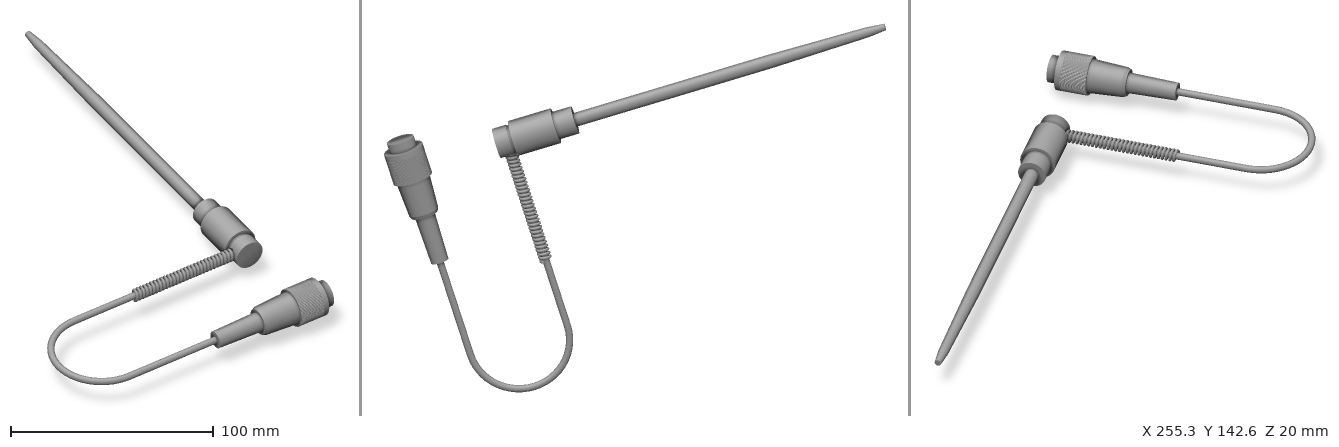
import cadquery as cq
import math


POINT_DIAMETER = 3.3
NECK_DIAMETER = 5.0
SHAFT_DIAMETER = 7.0
POINT_END_X = 9.7
TAPER_END_X = 60.0
TIP_END_X = 65.0

HANDLE_START_X = 160.0
GRIP_START_X = 170.0
GRIP_END_X = 192.0
CAP_START_X = 193.5
HANDLE_END_X = 200.5
FRONT_DIAMETER = 14.0
GRIP_DIAMETER = 17.9
CAP_DIAMETER = 15.0

GRIP_HOLE_DIAMETER = 1.48
GRIP_HOLE_DEPTH = 1.3
GRIP_HOLE_X = 189.1

CABLE_DIAMETER = 3.5
BEND_RADIUS = 25.0
CABLE_X = 195.3
BEND_Y = -99.8
PLUG_X = CABLE_X + 2 * BEND_RADIUS

SPRING_OUTER_DIAMETER = 6.6
SPRING_WIRE_DIAMETER = 1.48
SPRING_PITCH = 2.0
SPRING_END_Y = -65.3
SEAT_DIAMETER = 7.0
SEAT_Y = -5.5
SPRING_MEAN_RADIUS = (SPRING_OUTER_DIAMETER - SPRING_WIRE_DIAMETER) / 2
SPRING_END_GAP = 0.13

NOSE_DIAMETER = 13.8
BODY_START_DIAMETER = 17.0
BODY_END_DIAMETER = 15.0
SHOULDER_DIAMETER = 13.5
TAIL_START_DIAMETER = 10.2
TAIL_END_DIAMETER = 9.0
NOSE_Y = 16.0
BODY_START_Y = -4.8
BODY_END_Y = -22.5
SHOULDER_Y = -24.2
TAIL_END_Y = -49.3

RING_DIAMETER = 20.0
RING_START_Y = 11.2
KNURL_START_Y = 8.5
RIDGE_COUNT = 90
GROOVE_DEPTH = 0.2


def make_turned_part(stations, axis_origin, axis_direction):
    """Revolve (distance along axis, diameter) stations into a solid of revolution."""
    outline = [(stations[0][0], 0)]
    outline += [(distance, diameter / 2) for distance, diameter in stations]
    outline += [(stations[-1][0], 0)]
    plane = cq.Plane(origin=axis_origin, xDir=axis_direction, normal=(0, 0, 1))
    return cq.Workplane(plane).polyline(outline).close().revolve(360, (0, 0), (1, 0))


def make_y_rod(x, diameter, start_y, end_y):
    """Round rod along -Y from start_y down to end_y."""
    plane = cq.Plane(origin=(x, start_y, 0), xDir=(1, 0, 0), normal=(0, -1, 0))
    return cq.Workplane(plane).circle(diameter / 2).extrude(start_y - end_y)


def make_tip():
    stations = [
        (0, POINT_DIAMETER),
        (POINT_END_X, NECK_DIAMETER),
        (TAPER_END_X, SHAFT_DIAMETER),
        (TIP_END_X, SHAFT_DIAMETER),
    ]
    return make_turned_part(stations, (0, 0, 0), (1, 0, 0))


def make_shaft():
    stations = [(TIP_END_X, SHAFT_DIAMETER), (HANDLE_START_X, SHAFT_DIAMETER)]
    return make_turned_part(stations, (0, 0, 0), (1, 0, 0))


def make_handle():
    stations = [
        (HANDLE_START_X, FRONT_DIAMETER),
        (GRIP_START_X, FRONT_DIAMETER),
        (GRIP_START_X, GRIP_DIAMETER),
        (GRIP_END_X, GRIP_DIAMETER),
        (GRIP_END_X, FRONT_DIAMETER),
        (CAP_START_X, FRONT_DIAMETER),
        (CAP_START_X, CAP_DIAMETER),
        (HANDLE_END_X, CAP_DIAMETER),
    ]
    handle = make_turned_part(stations, (0, 0, 0), (1, 0, 0))
    grip_side_y = -GRIP_DIAMETER / 2
    spring_seat = make_y_rod(CABLE_X, SEAT_DIAMETER, SEAT_Y, grip_side_y)
    grip_hole = make_y_rod(GRIP_HOLE_X, GRIP_HOLE_DIAMETER, grip_side_y + GRIP_HOLE_DEPTH, grip_side_y)
    return handle.cut(spring_seat).cut(grip_hole)


def make_cable():
    path = (
        cq.Workplane("XY")
        .moveTo(CABLE_X, SEAT_Y)
        .lineTo(CABLE_X, BEND_Y)
        .threePointArc((CABLE_X + BEND_RADIUS, BEND_Y - BEND_RADIUS), (PLUG_X, BEND_Y))
        .lineTo(PLUG_X, TAIL_END_Y)
    )
    section_plane = cq.Plane(origin=(CABLE_X, SEAT_Y, 0), xDir=(1, 0, 0), normal=(0, -1, 0))
    return cq.Workplane(section_plane).circle(CABLE_DIAMETER / 2).sweep(path)


def make_spring():
    wire_radius = SPRING_WIRE_DIAMETER / 2
    start_y = SEAT_Y - wire_radius - SPRING_END_GAP
    height = start_y - (SPRING_END_Y + wire_radius)
    helix = cq.Wire.makeHelix(SPRING_PITCH, height, SPRING_MEAN_RADIUS, lefthand=True)
    section = cq.Workplane("XZ", origin=(SPRING_MEAN_RADIUS, 0, 0)).circle(wire_radius)
    spring = section.sweep(cq.Workplane(helix), isFrenet=True)
    return spring.rotate((0, 0, 0), (1, 0, 0), 90).translate((CABLE_X, start_y, 0))


def make_plug():
    stations = [
        (NOSE_Y, NOSE_DIAMETER),
        (BODY_START_Y, NOSE_DIAMETER),
        (BODY_START_Y, BODY_START_DIAMETER),
        (BODY_END_Y, BODY_END_DIAMETER),
        (SHOULDER_Y, SHOULDER_DIAMETER),
        (SHOULDER_Y, TAIL_START_DIAMETER),
        (TAIL_END_Y, TAIL_END_DIAMETER),
    ]
    return make_turned_part(stations, (PLUG_X, 0, 0), (0, 1, 0))


def make_knurled_ring():
    ring = make_y_rod(PLUG_X, RING_DIAMETER, RING_START_Y, BODY_START_Y)
    bore = make_y_rod(PLUG_X, NOSE_DIAMETER, RING_START_Y, BODY_START_Y)

    ridge_radius = RING_DIAMETER / 2
    groove_radius = ridge_radius - GROOVE_DEPTH
    outline = []
    for step in range(2 * RIDGE_COUNT):
        radius = groove_radius if step % 2 else ridge_radius
        angle = math.pi * step / RIDGE_COUNT
        outline.append((radius * math.cos(angle), radius * math.sin(angle)))
    knurl_plane = cq.Plane(origin=(PLUG_X, KNURL_START_Y, 0), xDir=(1, 0, 0), normal=(0, -1, 0))
    knurl_length = KNURL_START_Y - BODY_START_Y
    blank = cq.Workplane(knurl_plane).circle(RING_DIAMETER).extrude(knurl_length)
    ridges = cq.Workplane(knurl_plane).polyline(outline).close().extrude(knurl_length)
    return ring.cut(bore).cut(blank.cut(ridges))


tip = make_tip()
shaft = make_shaft()
handle = make_handle()
cable = make_cable()
spring = make_spring()
plug = make_plug()
knurled_ring = make_knurled_ring()

result = cq.Compound.makeCompound(
    [
        tip.val(),
        shaft.val(),
        handle.val(),
        cable.val(),
        spring.val(),
        plug.val(),
        knurled_ring.val(),
    ]
)